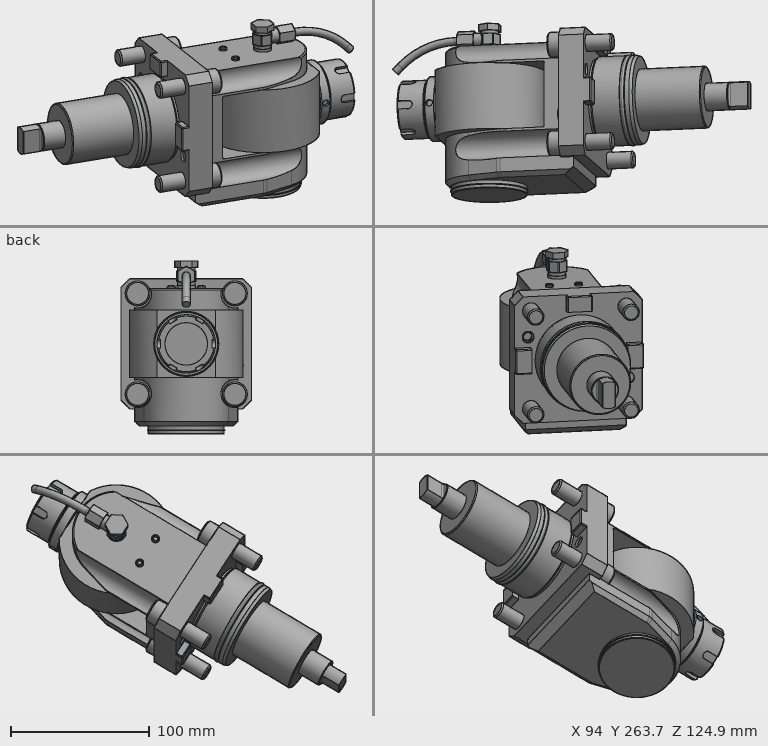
import cadquery as cq
import math


overall_length = 263.7

flange_size = 94.0
flange_thickness = 18.5
flange_chamfer = 6.3
bolt_x = 35.0
bolt_z = 36.5
bolt_radius = 6.0
bolt_reach = 19.2
bolt_head_radius = 9.0
bolt_head_height = 9.5
bolt_chamfer = 1.0
bolt_places = [(x, z) for x in (-bolt_x, bolt_x) for z in (-bolt_z, bolt_z)]

key_width = 18.5
key_height = 5.5
key_inner = 35.3
key_chamfer = 0.8
flange_hole_radius = 4.2
flange_hole_x = 37.0
flange_hole_z = 17.0
flange_hole_depth = 1.5
oil_hole_radius = 3.2
oil_hole_depth = 4.0
stop_screw_radius = 4.2
stop_screw_z = -15.5
stop_screw_height = 1.8

neck_radius = 32.5
neck_length = 32.7
neck_end_taper_length = 2.5
neck_end_taper_depth = 0.8
neck_back_chamfer = 1.3
relief_length = 1.5
relief_depth = 1.5
ring_y = -24.8
ring_section = 1.5
ring_stand_out = 0.5
groove_start = 23.2
groove_end = 27.0
groove_depth = 0.8
shank_radius = 22.5
shank_end = 81.0
shank_chamfer = 0.8
drive_radius = 10.0
drive_end = 112.3
drive_chamfer = 0.5
tang_start = 98.0
tang_thickness = 10.0
tang_base_fillet = 1.3
tang_tip_chamfer = 0.5

drum_y = 80.0
fork_width = 74.4
fork_end_radius = 31.6
fork_flank_angle = 16
fork_flank_blend = 10.0
fork_top = 40.0
fork_bottom = -59.3
fork_front = 9.5
fork_top_chamfer = 1.0
fork_bottom_chamfer = 3.5
front_bevel_length = 7.0
front_bevel_height = 5.0
trough_radius = 10.0
trough_z = 35.9
slot_front = 31.0
slot_half_height = 24.3
slot_fillet = 1.3
cover_radius = 27.5
cover_rim_radius = 28.0
cover_rim_height = 0.5
cover_bottom = -65.0
cover_rim_z = -62.5
cover_chamfer = 0.5
top_screw_x = 10.8
top_screw_y = 53.3
top_screw_radius = 3.0
top_screw_height = 1.8
top_screw_chamfer = 0.8
top_screw_socket = 3.2

fitting_y = 79.5
fitting_base_radius = 6.5
fitting_base_top = 42.2
fitting_body_bottom = 44.8
fitting_body_top = 52.7
fitting_body_flats = 13.7
fitting_body_radius = 7.6
fitting_collar_radius = 6.3
cap_bottom = 55.0
cap_top = 59.9
cap_flats = 14.5
pipe_z = 49.0
stub_radius = 5.3
nut_start = 90.7
nut_end = 102.8
nut_flats = 12.0
nut_chamfer_radius = 6.5
pipe_radius = 3.0
pipe_bend_radius = 57.5
pipe_bend_angle = 45
pipe_tail = 5.3
pipe_tip_y = overall_length - drive_end

drum_radius = 41.1
nose_seat = 115.2
collar_radius = 23.5
collar_end = 123.1
collar_chamfer = 0.8
nose_gap_radius = 19.0
collet_nut_start = 124.5
collet_nut_radius = 21.0
collet_nut_end = 143.7
collet_nut_chamfer = 1.0
nose_face_radius = 15.3
nose_end = 144.8
wrench_slot_count = 6
wrench_slot_width = 6.0
first_wrench_slot_angle = 30
wrench_slot_length = 11.3
wrench_slot_depth = 2.6
collar_hole_radius = 2.5
collar_hole_depth = 2.6


def rod(radius, y_from, y_to, x=0.0, z=0.0):
    """Cylinder along Y between two Y positions."""
    start = cq.Vector(x, y_from, z)
    return cq.Workplane(cq.Solid.makeCylinder(radius, y_to - y_from, start, cq.Vector(0, 1, 0)))


def post(radius, z_from, z_to, x=0.0, y=0.0):
    """Cylinder along Z between two Z positions."""
    return cq.Workplane("XY", origin=(x, y, z_from)).circle(radius).extrude(z_to - z_from)


def box(x_range, y_range, z_range):
    """Box given by its limits along X, Y and Z."""
    spans = [high - low for low, high in (x_range, y_range, z_range)]
    corner = (x_range[0], y_range[0], z_range[0])
    return cq.Workplane("XY", origin=corner).box(*spans, centered=False)


def hexagon_corner_diameter(flats):
    """Distance across the corners of a hexagon of the given width across flats."""
    return flats / math.cos(math.pi / 6)


def make_flange():
    plate = box(
        (-flange_size / 2, flange_size / 2), (0, flange_thickness), (-flange_size / 2, flange_size / 2)
    )
    return plate.edges("|Y").chamfer(flange_chamfer)


def make_bolt(x, z):
    stem = rod(bolt_radius, -bolt_reach, flange_thickness, x, z).faces("<Y").chamfer(bolt_chamfer)
    head_end = flange_thickness + bolt_head_height
    head = rod(bolt_head_radius, flange_thickness, head_end, x, z).faces(">Y").chamfer(bolt_chamfer)
    return stem.union(head)


def make_key(angle):
    """Locating key on the seat face, turned about the shank axis from the top position."""
    key = box((-key_width / 2, key_width / 2), (-key_height, 0), (key_inner, flange_size / 2))
    key = key.edges("(<Y and (not <Z)) or (>Z and |Y)").chamfer(key_chamfer)
    return key.rotate((0, 0, 0), (0, 1, 0), angle)


def make_neck():
    """Locating neck with a relief at the flange and a sealing ring in its groove."""
    relief = rod(neck_radius - relief_depth, -relief_length, 0)
    neck = rod(neck_radius, -neck_length, -relief_length).faces(">Y").chamfer(neck_back_chamfer)
    neck = neck.faces("<Y").chamfer(neck_end_taper_length, neck_end_taper_depth)
    groove = rod(neck_radius, -groove_end, -groove_start).cut(
        rod(neck_radius - groove_depth, -groove_end, -groove_start)
    )
    ring_centre_radius = neck_radius + ring_stand_out - ring_section
    ring = cq.Solid.makeTorus(ring_centre_radius, ring_section, cq.Vector(0, ring_y, 0), cq.Vector(0, 1, 0))
    return neck.cut(groove).union(relief).union(cq.Workplane(ring))


def make_shank():
    """Round shank and drive journal that ends in a flat tang."""
    barrel = rod(shank_radius, -shank_end, -neck_length).faces("<Y").chamfer(shank_chamfer)
    journal = rod(drive_radius, -tang_start, -shank_end).faces("<Y").chamfer(drive_chamfer)
    tang_half = tang_thickness / 2
    tang = box((-tang_half, tang_half), (-drive_end, -tang_start), (-drive_radius, drive_radius))
    tang = tang.edges("<Y and |Z").chamfer(tang_tip_chamfer)
    base_half = tang_half + tang_base_fillet
    base_front = -tang_start - tang_base_fillet
    base = box((-base_half, base_half), (base_front, -tang_start), (-drive_radius, drive_radius))
    for x in (-base_half, base_half):
        fillet_cut = post(tang_base_fillet, -drive_radius, drive_radius, x, base_front)
        base = base.cut(fillet_cut)
    tang = tang.union(base).intersect(rod(drive_radius, -drive_end, -tang_start))
    return barrel.union(journal).union(tang)


def fork_outline():
    """Plan of the fork: straight sides, slanted flanks and a round end about the drum axis."""
    half = fork_width / 2
    angle = math.radians(fork_flank_angle)
    arc_x = fork_end_radius * math.cos(angle)
    arc_y = drum_y + fork_end_radius * math.sin(angle)
    corner_y = arc_y - (half - arc_x) / math.tan(angle)
    tangent = fork_flank_blend * math.tan(angle / 2)
    flank_x = half - tangent * math.sin(angle)
    flank_y = corner_y + tangent * math.cos(angle)
    middle_x = half - fork_flank_blend * (1 - math.cos(angle / 2))
    middle_y = corner_y - tangent + fork_flank_blend * math.sin(angle / 2)
    return (
        cq.Workplane("XY", origin=(0, 0, fork_bottom))
        .moveTo(-half, fork_front)
        .lineTo(half, fork_front)
        .lineTo(half, corner_y - tangent)
        .threePointArc((middle_x, middle_y), (flank_x, flank_y))
        .lineTo(arc_x, arc_y)
        .threePointArc((0, drum_y + fork_end_radius), (-arc_x, arc_y))
        .lineTo(-flank_x, flank_y)
        .threePointArc((-middle_x, middle_y), (-half, corner_y - tangent))
        .close()
    )


def make_fork():
    fork = fork_outline().extrude(fork_top - fork_bottom)
    fork = fork.faces("<Z").chamfer(fork_bottom_chamfer)
    fork = fork.faces(">Z").edges(">Y").chamfer(fork_top_chamfer)
    bevel = (
        cq.Workplane("YZ")
        .moveTo(fork_front, fork_bottom)
        .lineTo(fork_front + front_bevel_length, fork_bottom)
        .lineTo(fork_front, fork_bottom + front_bevel_height)
        .close()
        .extrude(fork_width / 2, both=True)
    )
    fork_end = drum_y + fork_end_radius
    slot = box(
        (-fork_width / 2, fork_width / 2), (slot_front, fork_end), (-slot_half_height, slot_half_height)
    )
    slot = slot.edges("|X and <Y").fillet(slot_fillet)
    above_flange = box(
        (-fork_width / 2, fork_width / 2), (fork_front, flange_thickness), (-flange_size / 2, fork_top)
    )
    fork = fork.cut(bevel).cut(slot).cut(above_flange)
    for x, z in bolt_places:
        fork = fork.cut(rod(trough_radius, flange_thickness, fork_end, x, math.copysign(trough_z, z)))
    return fork


def make_cover():
    """Round cover below the drum axis, with a thin rim around it."""
    cover = post(cover_radius, cover_bottom, fork_bottom, y=drum_y).faces("<Z").chamfer(cover_chamfer)
    return cover.union(post(cover_rim_radius, cover_rim_z, cover_rim_z + cover_rim_height, y=drum_y))


def make_top_screw(x):
    screw_top = fork_top + top_screw_height
    return post(top_screw_radius, fork_top, screw_top, x, top_screw_y).faces(">Z").chamfer(top_screw_chamfer)


def top_screw_socket_cut(x):
    return (
        cq.Workplane("XY", origin=(x, top_screw_y, fork_top))
        .polygon(6, hexagon_corner_diameter(top_screw_socket))
        .extrude(top_screw_height)
    )


def make_fitting():
    """Upright banjo fitting with a clipped hexagon body and a hexagon cap."""
    base = post(fitting_base_radius, fork_top, fitting_base_top, y=fitting_y)
    base = base.union(post(fitting_collar_radius, fitting_base_top, fitting_body_bottom, y=fitting_y))
    body = (
        cq.Workplane("XY", origin=(0, fitting_y, fitting_body_bottom))
        .transformed(rotate=(0, 0, 90))
        .polygon(6, hexagon_corner_diameter(fitting_body_flats))
        .extrude(fitting_body_top - fitting_body_bottom)
    )
    body = body.intersect(post(fitting_body_radius, fitting_body_bottom, fitting_body_top, y=fitting_y))
    collar = post(fitting_collar_radius, fitting_body_top, cap_bottom, y=fitting_y)
    cap = (
        cq.Workplane("XY", origin=(0, fitting_y, cap_bottom))
        .polygon(6, hexagon_corner_diameter(cap_flats))
        .extrude(cap_top - cap_bottom)
    )
    return base.union(body).union(collar).union(cap)


def make_pipe():
    """Coolant pipe: a stub and nut on the fitting, then a bent pipe with a straight tail."""
    stub = rod(stub_radius, fitting_y, nut_start, z=pipe_z)
    nut = (
        cq.Workplane("XZ", origin=(0, nut_start, pipe_z))
        .transformed(rotate=(0, 0, 90))
        .polygon(6, hexagon_corner_diameter(nut_flats))
        .extrude(nut_start - nut_end)
    )
    rounding = rod(hexagon_corner_diameter(nut_flats) / 2, nut_start, nut_end, z=pipe_z)
    rounding = rounding.faces("<Y").chamfer(hexagon_corner_diameter(nut_flats) / 2 - nut_chamfer_radius)
    nut = nut.intersect(rounding)
    angle = math.radians(pipe_bend_angle)
    sine = math.sin(angle)
    cosine = math.cos(angle)
    bend_start = pipe_tip_y - (pipe_bend_radius + pipe_radius) * sine - pipe_tail * cosine
    bend_end_y = bend_start + pipe_bend_radius * sine
    bend_end_z = pipe_z - pipe_bend_radius * (1 - cosine)
    bend_middle_y = bend_start + pipe_bend_radius * math.sin(angle / 2)
    bend_middle_z = pipe_z - pipe_bend_radius * (1 - math.cos(angle / 2))
    path = (
        cq.Workplane("YZ")
        .moveTo(nut_start, pipe_z)
        .lineTo(bend_start, pipe_z)
        .threePointArc((bend_middle_y, bend_middle_z), (bend_end_y, bend_end_z))
        .lineTo(bend_end_y + pipe_tail * cosine, bend_end_z - pipe_tail * sine)
    )
    pipe = cq.Workplane("XZ", origin=(0, nut_start, pipe_z)).circle(pipe_radius).sweep(path)
    return stub.union(nut).union(pipe)


def make_housing():
    housing = make_flange().union(make_fork()).union(make_neck()).union(make_shank()).union(make_cover())
    for x, z in bolt_places:
        housing = housing.union(make_bolt(x, z))
    for angle in (-90, 0, 90):
        housing = housing.union(make_key(angle))
    for x in (-top_screw_x, top_screw_x):
        housing = housing.union(make_top_screw(x)).cut(top_screw_socket_cut(x))
    housing = housing.union(make_fitting()).union(make_pipe())
    stop_end = flange_thickness + stop_screw_height
    housing = housing.union(rod(stop_screw_radius, flange_thickness, stop_end, -flange_hole_x, stop_screw_z))
    for side in (-1, 1):
        recess = rod(flange_hole_radius, 0, flange_hole_depth, side * flange_hole_x, -side * flange_hole_z)
        housing = housing.cut(recess)
    return housing.cut(rod(oil_hole_radius, 0, oil_hole_depth, -flange_hole_x, flange_hole_z))


def wrench_slot_cut(angle):
    """Round-ended slot in the rim of the collet nut, open at the front of the nut."""
    slot_floor = collet_nut_radius - wrench_slot_depth
    half = wrench_slot_width / 2
    slot_y = collet_nut_end - wrench_slot_length + half
    round_end = post(half, slot_floor, collet_nut_radius, y=slot_y)
    straight = box((-half, half), (slot_y, collet_nut_end), (slot_floor, collet_nut_radius))
    return round_end.union(straight).rotate((0, 0, 0), (0, 1, 0), angle)


def make_drum():
    """Swivel drum with a flat seat that carries the collar and the collet nut."""
    drum = post(drum_radius, -slot_half_height, slot_half_height, y=drum_y)
    trimmed = box(
        (-drum_radius, drum_radius), (drum_y - drum_radius, nose_seat), (-slot_half_height, slot_half_height)
    )
    drum = drum.intersect(trimmed)
    drum = drum.union(rod(collar_radius, nose_seat, collar_end).edges("%CIRCLE").chamfer(collar_chamfer))
    drum = drum.union(rod(nose_gap_radius, collar_end, collet_nut_start))
    nut = rod(collet_nut_radius, collet_nut_start, collet_nut_end).faces(">Y").chamfer(collet_nut_chamfer)
    for index in range(wrench_slot_count):
        nut = nut.cut(wrench_slot_cut(first_wrench_slot_angle + index * 360 / wrench_slot_count))
    drum = drum.union(nut).union(rod(nose_face_radius, collet_nut_end, nose_end))
    hole_y = (nose_seat + collar_end) / 2
    for side in (-1, 1):
        hole = cq.Solid.makeCylinder(
            collar_hole_radius,
            collar_hole_depth,
            cq.Vector(side * collar_radius, hole_y, 0),
            cq.Vector(-side, 0, 0),
        )
        drum = drum.cut(cq.Workplane(hole))
    return drum


housing = make_housing()
drum = make_drum()

result = cq.Compound.makeCompound([housing.val(), drum.val()])